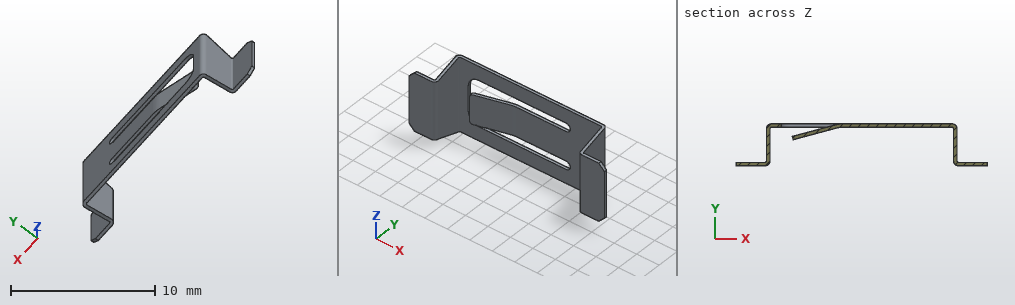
import cadquery as cq
import math

length = 17.4
depth = 2.92
height = 6.48

thickness = 0.25
bend_inner_radius = 0.1
bend_outer_radius = bend_inner_radius + thickness

bridge_length = 13.2
flange_height = 5.06
flange_chamfer = 0.5

slot_left = -5.57
slot_right = 3.5
slot_height = 4.02
slot_corner_radius = 0.95

tab_height = 2.58
tab_angle = math.radians(15)
tab_bend_start = -1.25
tab_bend_inner_radius = 2.0
tab_straight_length = 3.1
tab_corner_radius = 0.28

half_length = length / 2
half_height = height / 2
half_flange = flange_height / 2
half_bridge = bridge_length / 2
half_inside = half_bridge - thickness
plate_front = depth - thickness


def fillet_upright_edges(body, points, radius):
    """Round the edges parallel to Z that pass through the given XY points."""
    for x, y in points:
        nearest = cq.selectors.NearestToPointSelector((x, y, 0))
        body = body.edges("|Z").edges(nearest).fillet(radius)
    return body


def folded_strip():
    """Bridge, two walls and two flanges as a hat section of constant height."""
    outer_bends = [(-half_bridge, depth), (half_bridge, depth), (-half_inside, 0), (half_inside, 0)]
    inner_bends = [
        (-half_inside, plate_front),
        (half_inside, plate_front),
        (-half_bridge, thickness),
        (half_bridge, thickness),
    ]
    strip = (
        cq.Workplane("XY")
        .moveTo(-half_length, 0)
        .lineTo(-half_inside, 0)
        .lineTo(-half_inside, plate_front)
        .lineTo(half_inside, plate_front)
        .lineTo(half_inside, 0)
        .lineTo(half_length, 0)
        .lineTo(half_length, thickness)
        .lineTo(half_bridge, thickness)
        .lineTo(half_bridge, depth)
        .lineTo(-half_bridge, depth)
        .lineTo(-half_bridge, thickness)
        .lineTo(-half_length, thickness)
        .close()
        .extrude(half_height, both=True)
    )
    strip = fillet_upright_edges(strip, outer_bends, bend_outer_radius)
    return fillet_upright_edges(strip, inner_bends, bend_inner_radius)


def side_envelope():
    """Side silhouette: full height at the bridge, walls tapering down to the flanges."""
    taper_front = bend_outer_radius
    taper_back = depth - bend_outer_radius
    return (
        cq.Workplane("YZ")
        .moveTo(0, -half_flange)
        .lineTo(taper_front, -half_flange)
        .lineTo(taper_back, -half_height)
        .lineTo(depth, -half_height)
        .lineTo(depth, half_height)
        .lineTo(taper_back, half_height)
        .lineTo(taper_front, half_flange)
        .lineTo(0, half_flange)
        .close()
        .extrude(half_length, both=True)
    )


def chamfer_flanges(body):
    """Cut the four outer corners of the flanges at 45 degrees."""
    for end in ("<X", ">X"):
        body = body.faces(end).edges("|Y").chamfer(flange_chamfer)
    return body


def u_slot():
    """Window around the bent tab, continued by two round-ended legs beside its root."""
    leg_width = (slot_height - tab_height) / 2
    leg_offset = (tab_height + leg_width) / 2
    leg_start = tab_bend_start - leg_width
    window_length = tab_bend_start - slot_left
    slot = (
        cq.Workplane("XY")
        .box(window_length, thickness, slot_height, centered=(False, False, True))
        .translate((slot_left, plate_front, 0))
        .edges("|Y and <X")
        .fillet(slot_corner_radius)
    )
    legs = (
        cq.Workplane("XZ", origin=((leg_start + slot_right) / 2, plate_front, 0))
        .pushPoints([(0, -leg_offset), (0, leg_offset)])
        .slot2D(slot_right - leg_start, leg_width)
        .extrude(-thickness)
    )
    return slot.union(legs)


def spring_tab():
    """Tab that leaves the plate through a gentle bend and runs straight to a rounded tip."""
    centre_y = plate_front - tab_bend_inner_radius

    def bend_point(radius, angle):
        return (tab_bend_start - radius * math.sin(angle), centre_y + radius * math.cos(angle))

    def tip_point(radius):
        x, y = bend_point(radius, tab_angle)
        run = tab_straight_length * math.cos(tab_angle)
        drop = tab_straight_length * math.sin(tab_angle)
        return (x - run, y - drop)

    inner = tab_bend_inner_radius
    outer = inner + thickness
    tab = (
        cq.Workplane("XY")
        .moveTo(tab_bend_start, plate_front)
        .threePointArc(bend_point(inner, tab_angle / 2), bend_point(inner, tab_angle))
        .lineTo(*tip_point(inner))
        .lineTo(*tip_point(outer))
        .lineTo(*bend_point(outer, tab_angle))
        .threePointArc(bend_point(outer, tab_angle / 2), (tab_bend_start, depth))
        .close()
        .extrude(tab_height / 2, both=True)
    )
    return tab.faces("<X").edges("not |Z").fillet(tab_corner_radius)


clip = folded_strip().intersect(side_envelope())
clip = chamfer_flanges(clip)
result = clip.cut(u_slot()).union(spring_tab())